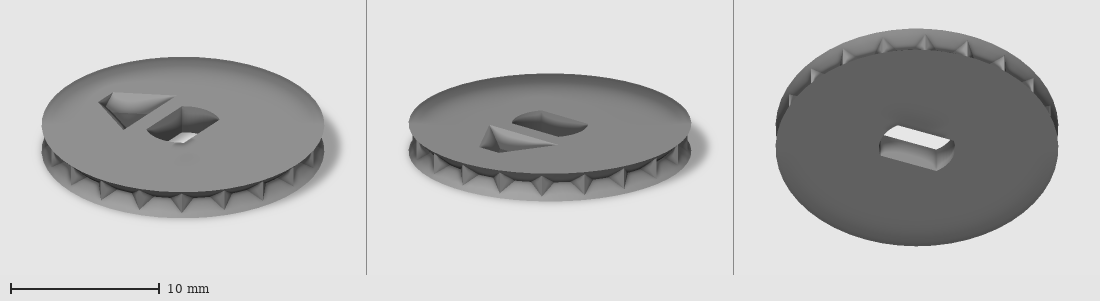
import cadquery as cq
import math

disc_radius = 9.5
thickness = 2.0
half_thickness = thickness / 2

groove_root_radius = disc_radius - half_thickness
tooth_count = 20
tooth_tip_radius = 9.25
tooth_root_radius = 7.98

hole_radius = 2.56
hole_width = 3.15

arrow_base_x = -2.75
arrow_tip_x = -6.46
arrow_half_base = 3.0
pocket_depth = 0.99
wall_inset = 1.03


def grooved_disc():
    profile = [
        (0, -half_thickness),
        (disc_radius, -half_thickness),
        (groove_root_radius, 0),
        (disc_radius, half_thickness),
        (0, half_thickness),
    ]
    return cq.Workplane("XZ").polyline(profile).close().revolve(360, (0, 0), (0, 1))


def rim_teeth():
    """Vertical wedges with a right-angled tip, clipped to the disc thickness."""
    half_width = tooth_tip_radius - tooth_root_radius
    wedge = (
        cq.Workplane("XY", origin=(0, 0, -half_thickness))
        .polyline([
            (tooth_root_radius, -half_width),
            (tooth_tip_radius, 0),
            (tooth_root_radius, half_width),
        ])
        .close()
        .extrude(thickness)
    )
    teeth = cq.Workplane("XY")
    for index in range(tooth_count):
        teeth = teeth.add(wedge.rotate((0, 0, 0), (0, 0, 1), index * 360 / tooth_count))
    return teeth.combine()


def center_hole():
    cylinder = cq.Workplane("XY").circle(hole_radius).extrude(half_thickness, both=True)
    flats = cq.Workplane("XY").box(hole_width, 2 * hole_radius, thickness)
    return cylinder.intersect(flats)


def equilateral_triangle(base_x, half_base, z):
    apex_x = base_x - half_base * math.sqrt(3)
    corners = [(base_x, -half_base, z), (base_x, half_base, z), (apex_x, 0, z)]
    return cq.Wire.makePolygon([cq.Vector(*corner) for corner in corners], close=True)


def arrow_pocket():
    floor_half_base = arrow_half_base - wall_inset * math.sqrt(3)
    mouth = equilateral_triangle(arrow_base_x, arrow_half_base, half_thickness)
    floor = equilateral_triangle(
        arrow_base_x - wall_inset, floor_half_base, half_thickness - pocket_depth
    )
    tapered = cq.Workplane(cq.Solid.makeLoft([floor, mouth], True))
    tip_limit = cq.Workplane("XY").box(
        arrow_base_x - arrow_tip_x, 2 * arrow_half_base, thickness
    ).translate(((arrow_base_x + arrow_tip_x) / 2, 0, 0))
    return tapered.intersect(tip_limit)


result = grooved_disc().union(rim_teeth()).cut(center_hole()).cut(arrow_pocket())